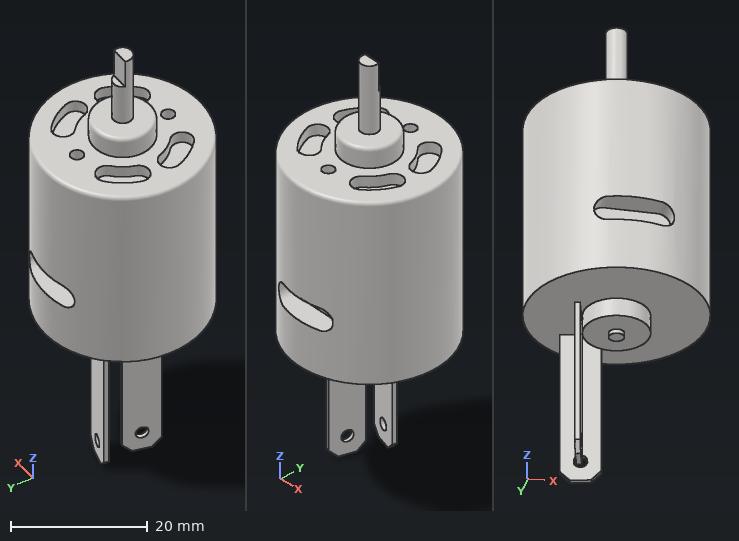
import cadquery as cq
import math

can_diameter = 27.5
can_radius = can_diameter / 2
can_height = 32.5
can_edge_radius = 0.7

boss_diameter = 10.0
top_boss_height = 3.65
bottom_boss_height = 2.95
boss_edge_radius = 0.7

shaft_diameter = 3.17
shaft_length = 15.85
flat_length = 5.0
flat_offset = 0.55

rear_pin_diameter = 2.3
rear_pin_length = 0.7

pocket_depth = 2.0
screw_hole_diameter = 2.11
screw_hole_spacing = 16.0
vent_path_radius = 8.8
vent_width = 3.5
vent_start_angle = 18.0
vent_end_angle = 48.5

side_slot_length = 12.0
side_slot_height = 4.0
side_slot_depth = 3.95
side_slot_center_z = 10.2

blade_width = 6.1
blade_thickness = 0.8
blade_length = 24.95
blade_tip_chamfer = 1.5
blade_hole_diameter = 2.0
blade_hole_from_tip = 3.25
blade_turn = 15.0
blade_spacing = 6.4
rear_blade_x = -3.95
rear_blade_y = 6.6


def cylinder(diameter, start_z, height):
    return cq.Workplane("XY").workplane(offset=start_z).circle(diameter / 2).extrude(height)


def make_body():
    can = cylinder(can_diameter, 0, can_height).faces(">Z").edges().fillet(can_edge_radius)
    top_boss = cylinder(boss_diameter, can_height, top_boss_height)
    top_boss = top_boss.faces(">Z").edges().fillet(boss_edge_radius)
    bottom_boss = cylinder(boss_diameter, -bottom_boss_height, bottom_boss_height)
    rear_pin_total = bottom_boss_height + rear_pin_length
    rear_pin = cylinder(rear_pin_diameter, -rear_pin_total, rear_pin_total)
    return can.union(top_boss).union(bottom_boss).union(rear_pin)


def make_shaft():
    shaft = cylinder(shaft_diameter, can_height, shaft_length)
    flat_start_z = can_height + shaft_length - flat_length
    flat_cut = (
        cq.Workplane("XY")
        .workplane(offset=flat_start_z)
        .center(0, flat_offset)
        .rect(shaft_diameter, shaft_diameter, centered=(True, False))
        .extrude(flat_length)
    )
    return shaft.cut(flat_cut)


def polar_point(radius, angle):
    return (radius * math.cos(math.radians(angle)), radius * math.sin(math.radians(angle)))


def make_vent():
    """Curved slot with round ends, in the +X +Y quarter of the top face."""
    inner = vent_path_radius - vent_width / 2
    outer = vent_path_radius + vent_width / 2
    middle_angle = (vent_start_angle + vent_end_angle) / 2
    floor = cq.Workplane("XY").workplane(offset=can_height - pocket_depth)
    band = (
        floor.moveTo(*polar_point(inner, vent_start_angle))
        .lineTo(*polar_point(outer, vent_start_angle))
        .threePointArc(polar_point(outer, middle_angle), polar_point(outer, vent_end_angle))
        .lineTo(*polar_point(inner, vent_end_angle))
        .threePointArc(polar_point(inner, middle_angle), polar_point(inner, vent_start_angle))
        .close()
        .extrude(pocket_depth)
    )
    end_centers = [polar_point(vent_path_radius, angle) for angle in (vent_start_angle, vent_end_angle)]
    ends = floor.pushPoints(end_centers).circle(vent_width / 2).extrude(pocket_depth)
    return band.union(ends)


def cut_top_pockets(body):
    vent = make_vent()
    opposite_vent = vent.mirror("YZ")
    for pocket in (vent, opposite_vent, vent.mirror("XZ"), opposite_vent.mirror("XZ")):
        body = body.cut(pocket)
    screw_holes = (
        cq.Workplane("XY")
        .workplane(offset=can_height - pocket_depth)
        .pushPoints([(0, -screw_hole_spacing / 2), (0, screw_hole_spacing / 2)])
        .circle(screw_hole_diameter / 2)
        .extrude(pocket_depth)
    )
    return body.cut(screw_holes)


def cut_side_slots(body):
    slot = (
        cq.Workplane("XZ", origin=(0, side_slot_depth - can_radius, side_slot_center_z))
        .slot2D(side_slot_length, side_slot_height)
        .extrude(side_slot_depth)
    )
    return body.cut(slot).cut(slot.mirror("XZ"))


def make_blade(center, angle):
    """Blade hanging from the bottom of the can, its width turned by angle from the X axis."""
    blade = (
        cq.Workplane("XY")
        .rect(blade_width, blade_thickness)
        .extrude(-blade_length)
        .faces("<Z")
        .edges("|Y")
        .chamfer(blade_tip_chamfer)
    )
    hole = (
        cq.Workplane("XZ", origin=(0, 0, blade_hole_from_tip - blade_length))
        .circle(blade_hole_diameter / 2)
        .extrude(blade_thickness, both=True)
    )
    blade = blade.cut(hole)
    return blade.rotate((0, 0, 0), (0, 0, 1), angle).translate((center[0], center[1], 0))


def make_blades():
    turn = math.radians(blade_turn)
    side_blade_center = (
        rear_blade_x - blade_spacing * math.sin(turn),
        rear_blade_y - blade_spacing * math.cos(turn),
    )
    rear_blade = make_blade((rear_blade_x, rear_blade_y), -blade_turn)
    side_blade = make_blade(side_blade_center, 90 - blade_turn)
    return rear_blade, side_blade


result = make_body().union(make_shaft())
result = cut_top_pockets(result)
result = cut_side_slots(result)
for terminal in make_blades():
    result = result.union(terminal)